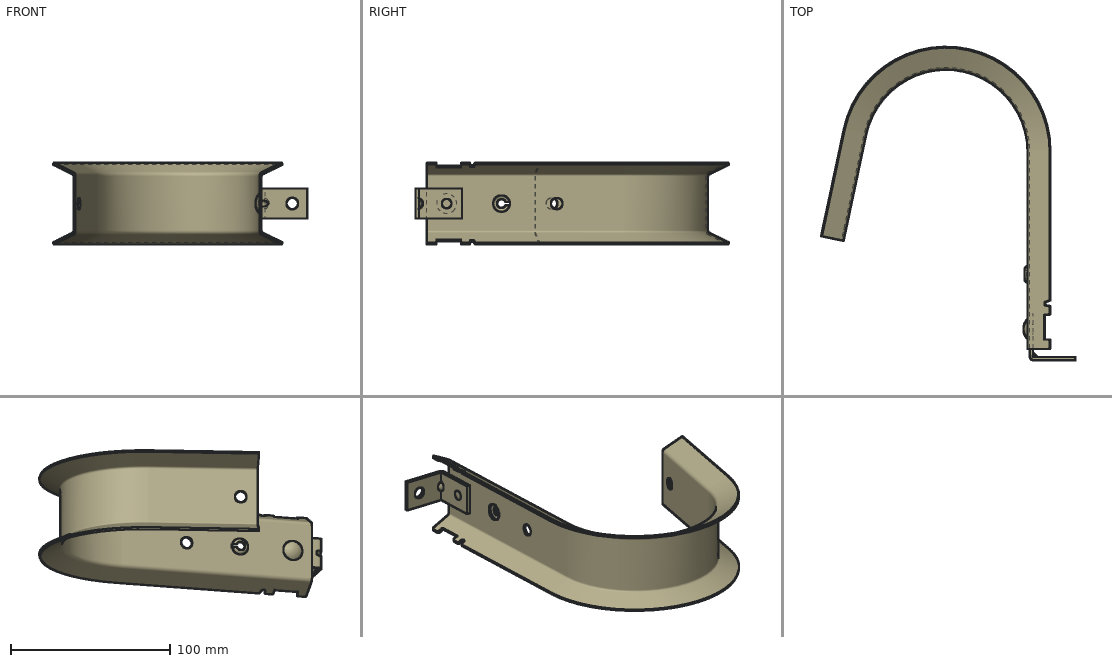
import cadquery as cq
import math


height = 51.43
thickness = 1.4
bend_radius = 65.6
web_radius = 51.1
web_flat_half = 17.1
fold_radius = 2.85
flange_angle = 26.2
long_arm = 124.1
short_arm = 68.4
short_arm_tilt = 12

arm_hole_diameter = 7.2
long_arm_hole_y = -42.5
short_arm_hole_to_end = 10.7
dome_y = -77.2
dome_base_radius = 5.2
dome_height = 2.0
dome_bore_radius = 2.7
dome_shoulder = (1.45, 4.3)
dome_slot_width = 1.9
dome_slot_reach = 5.3

notch_mouth_y = -93.5
notch_y = -95.6
notch_radius = 1.3
notch_depth = 3.7
window_bottom_y = -118.0
window_top_y = -102.6
window_depth = 4.0
tab_corner_radius = 1.2
cutter_overrun = 1.0

bracket_width = 19.05
bracket_thickness = 2.2
bracket_bend_radius = 2.6
bracket_bottom_y = -131.19
bracket_end_x = 81.23
bracket_hole_diameter = 7.1
dart_reach = 3.9
dart_radius = 1.8
dart_length = 4 * dart_reach

rivet_y = -111.6
rivet_head_diameter = 12.4
rivet_head_height = 2.6
rivet_shank_diameter = 6.0

web_back_x = web_radius + thickness
half_height = height / 2
rise_cos = math.cos(math.radians(flange_angle))
rise_sin = math.sin(math.radians(flange_angle))
tip_inner_radius = bend_radius - thickness * rise_sin
tip_back_z = half_height - thickness * rise_cos


def fold_point(radius, angle):
    """Point of the web-to-flange fold, at an angle turned from the web face."""
    turn = math.radians(angle)
    across = web_radius + fold_radius - radius * math.cos(turn)
    return across, web_flat_half + radius * math.sin(turn)


def mirrored(point):
    return point[0], -point[1]


def strip_profile():
    """Strip section on the XZ plane: flat web with a flange flared outward at each edge."""
    full_turn = 90 - flange_angle
    back_fold = fold_radius - thickness
    front = [fold_point(fold_radius, full_turn * part) for part in (0, 0.5, 1)]
    back = [fold_point(back_fold, full_turn * part) for part in (0, 0.5, 1)]
    tip_front = (tip_inner_radius, half_height)
    tip_back = (bend_radius, tip_back_z)
    return (
        cq.Workplane("XZ")
        .moveTo(*mirrored(front[0]))
        .lineTo(*front[0])
        .threePointArc(front[1], front[2])
        .lineTo(*tip_front)
        .lineTo(*tip_back)
        .lineTo(*back[2])
        .threePointArc(back[1], back[0])
        .lineTo(*mirrored(back[0]))
        .threePointArc(mirrored(back[1]), mirrored(back[2]))
        .lineTo(*mirrored(tip_back))
        .lineTo(*mirrored(tip_front))
        .lineTo(*mirrored(front[2]))
        .threePointArc(mirrored(front[1]), mirrored(front[0]))
        .close()
    )


def x_cylinder(start_x, end_x, y, diameter):
    """Round bar along X at height zero."""
    return (
        cq.Workplane("YZ", origin=(start_x, y, 0))
        .circle(diameter / 2)
        .extrude(end_x - start_x)
    )


def to_short_arm(tool):
    """Swing a shape beside the start of the long arm round to the short arm."""
    return tool.mirror("YZ").rotate((0, 0, 0), (0, 0, 1), -short_arm_tilt)


def bent_strip():
    bend_angle = 180 - short_arm_tilt
    straight = strip_profile().extrude(long_arm)
    bend = strip_profile().revolve(bend_angle, (0, 0, 0), (0, 1, 0))
    short = to_short_arm(strip_profile().extrude(short_arm))
    return straight.union(bend).union(short)


def dome_blank(base_x):
    """Solid flat-topped dome rising toward -X from a base plane."""
    rise, shoulder_radius = dome_shoulder
    tip_x = base_x - dome_height
    return (
        cq.Workplane("XY")
        .moveTo(base_x, dome_y)
        .lineTo(base_x, dome_y + dome_base_radius)
        .threePointArc((base_x - rise, dome_y + shoulder_radius), (tip_x, dome_y + dome_bore_radius))
        .lineTo(tip_x, dome_y)
        .close()
        .revolve(360, (base_x, dome_y, 0), (base_x - 1, dome_y, 0))
    )


def add_pressed_dome(strip):
    """Hollow dome pressed out of the web, with a bore and a radial slot."""
    tip_x = web_radius - dome_height - cutter_overrun
    bore = x_cylinder(tip_x, web_back_x, dome_y, 2 * dome_bore_radius)
    slot = (
        cq.Workplane("XY", origin=(tip_x, dome_y, 0))
        .box(web_back_x - tip_x, dome_slot_reach, dome_slot_width, centered=(False, False, True))
    )
    raised = strip.union(dome_blank(web_radius))
    return raised.cut(dome_blank(web_back_x)).cut(bore).cut(slot)


def flange_edge_cutter():
    """Cutter for the upper flange edge, square to the flange: notch, tab, window and end tab."""
    edge = cq.Plane(
        origin=(tip_inner_radius, 0, half_height),
        xDir=(-rise_cos, 0, -rise_sin),
        normal=(rise_sin, 0, -rise_cos),
    )
    notch_root = notch_depth - notch_radius
    tab_top_y = notch_y - notch_radius
    corner = tab_corner_radius
    return (
        cq.Workplane(edge)
        .moveTo(-cutter_overrun, notch_mouth_y)
        .lineTo(0, notch_mouth_y)
        .lineTo(notch_root, notch_y + notch_radius)
        .threePointArc((notch_depth, notch_y), (notch_root, tab_top_y))
        .lineTo(corner, tab_top_y)
        .radiusArc((0, tab_top_y - corner), -corner)
        .lineTo(0, window_top_y + corner)
        .radiusArc((corner, window_top_y), -corner)
        .lineTo(window_depth, window_top_y)
        .lineTo(window_depth, window_bottom_y)
        .lineTo(corner, window_bottom_y)
        .radiusArc((0, window_bottom_y - corner), -corner)
        .lineTo(0, corner - long_arm)
        .radiusArc((corner, -long_arm), -corner)
        .lineTo(corner, -long_arm - cutter_overrun)
        .lineTo(-cutter_overrun, -long_arm - cutter_overrun)
        .close()
        .extrude(2 * thickness, both=True)
    )


def web_hole(y, diameter):
    """Cutter for a round hole through the long arm's web."""
    return x_cylinder(web_radius - cutter_overrun, web_back_x + cutter_overrun, y, diameter)


def make_hook():
    strip = bent_strip()
    long_hole = web_hole(long_arm_hole_y, arm_hole_diameter)
    rivet_hole = web_hole(rivet_y, rivet_shank_diameter)
    short_hole = to_short_arm(web_hole(short_arm_hole_to_end - short_arm, arm_hole_diameter))
    cutter = flange_edge_cutter()
    strip = strip.cut(long_hole).cut(rivet_hole).cut(short_hole)
    strip = strip.cut(cutter).cut(cutter.mirror("XY"))
    return add_pressed_dome(strip)


def corner_dart(radius):
    """Bar across the bracket corner at 45 degrees; its deepest line is dart_reach along each leg."""
    depth = dart_reach / math.sqrt(2) - dart_radius
    corner = cq.Vector(web_back_x, bracket_bottom_y, 0)
    inward = cq.Vector(1, 1, 0).normalized()
    along = cq.Vector(1, -1, 0).normalized()
    origin = corner + inward * depth - along * (dart_length / 2)
    across_bend = cq.Plane(origin=origin, xDir=(0, 0, 1), normal=along)
    return cq.Workplane(across_bend).circle(radius).extrude(dart_length)


def make_bracket():
    """L plate: leg riveted behind the web, foot pointing +X, with a stiffening dart at the corner."""
    inner_x = web_back_x + bracket_thickness
    inner_y = bracket_bottom_y + bracket_thickness
    half_width = bracket_width / 2
    leg_top_y = rivet_y + half_width
    plate = (
        cq.Workplane("XY", origin=(0, 0, -half_width))
        .moveTo(web_back_x, leg_top_y)
        .lineTo(inner_x, leg_top_y)
        .lineTo(inner_x, inner_y)
        .lineTo(bracket_end_x, inner_y)
        .lineTo(bracket_end_x, bracket_bottom_y)
        .lineTo(web_back_x + bracket_bend_radius, bracket_bottom_y)
        .radiusArc((web_back_x, bracket_bottom_y + bracket_bend_radius), bracket_bend_radius)
        .close()
        .extrude(bracket_width)
    )
    ridge = corner_dart(dart_radius + bracket_thickness)
    inside_corner = (
        cq.Workplane("XY", origin=(inner_x, inner_y, -half_width))
        .rect(2 * dart_reach, 2 * dart_reach, centered=False)
        .extrude(bracket_width)
    )
    plate = plate.union(ridge.intersect(inside_corner)).cut(corner_dart(dart_radius))
    foot_hole = (
        cq.Workplane("XZ", origin=(bracket_end_x - half_width, inner_y, 0))
        .circle(bracket_hole_diameter / 2)
        .extrude(bracket_thickness)
    )
    rivet_hole = x_cylinder(web_back_x, inner_x, rivet_y, rivet_shank_diameter)
    return plate.cut(foot_hole).cut(rivet_hole)


def make_rivet():
    """Domed rivet: spherical-cap head on the web, shank flush with the bracket's back."""
    shank_radius = rivet_shank_diameter / 2
    head_radius = rivet_head_diameter / 2
    shank_end_x = web_back_x + bracket_thickness
    crown_x = web_radius - rivet_head_height
    dome_radius = (head_radius**2 + rivet_head_height**2) / (2 * rivet_head_height)
    half_angle = math.asin(head_radius / dome_radius) / 2
    dome_middle = (
        crown_x + dome_radius * (1 - math.cos(half_angle)),
        rivet_y + dome_radius * math.sin(half_angle),
    )
    return (
        cq.Workplane("XY")
        .moveTo(crown_x, rivet_y)
        .threePointArc(dome_middle, (web_radius, rivet_y + head_radius))
        .lineTo(web_radius, rivet_y + shank_radius)
        .lineTo(shank_end_x, rivet_y + shank_radius)
        .lineTo(shank_end_x, rivet_y)
        .close()
        .revolve(360, (0, rivet_y, 0), (1, rivet_y, 0))
    )


hook = make_hook()
bracket = make_bracket()
rivet = make_rivet()
result = cq.Compound.makeCompound([hook.solids().val(), bracket.solids().val(), rivet.val()])